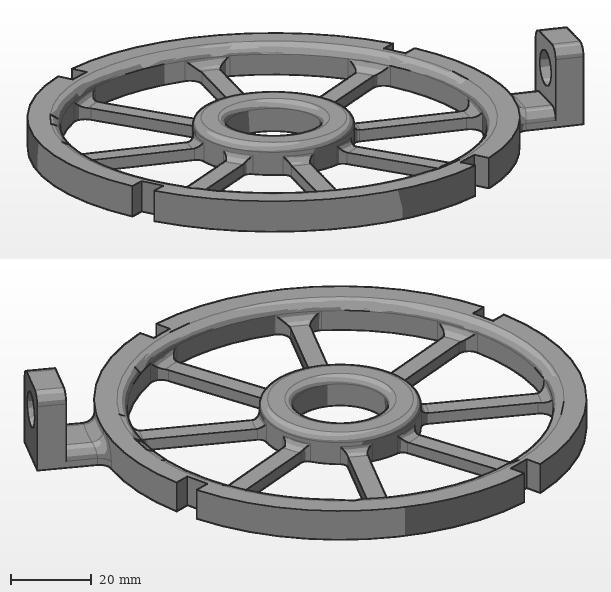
import cadquery as cq
import math

wheel_height = 8.0
rim_radius = 61.0
rim_inner_radius = 52.8
rim_round = 2.5
hub_radius = 20.0
bore_radius = 11.8
hub_round = 2.0
web_thickness = 3.0
web_fillet_at_hub = 2.0
web_fillet_at_rim = wheel_height - rim_round - web_thickness
window_corner_at_hub = 2.0
window_corner_at_rim = 3.0

spoke_count = 8
spoke_width = 5.0

notch_count = 4
notch_width = 6.3
notch_floor_radius = 56.6
notch_start_angle = -5.2

lug_angle = 45.0
lug_end_radius = 78.1
lug_width = 16.0
lug_top = 21.0
lug_round = 3.0
plate_thickness = 7.3
hole_diameter = 9.0
hole_height = lug_top - lug_width / 2
tongue_thickness = 5.0
root_fillet = wheel_height - tongue_thickness

plate_start = lug_end_radius - plate_thickness


def turned(body, angle):
    """Turn a body about the wheel axis."""
    return body.rotate((0, 0, 0), (0, 0, 1), angle)


def disc(radius, height):
    return cq.Workplane("XY").circle(radius).extrude(height)


def block(start, end, width, height):
    """A block along +X, centred on the X axis and standing on the base plane."""
    return (
        cq.Workplane("XY")
        .box(end - start, width, height, centered=(False, True, False))
        .translate((start, 0, 0))
    )


def arc_inset(radius):
    """Distance from a square corner's sides to the middle of the arc that rounds it."""
    return radius * (1 - math.sqrt(0.5))


def make_wheel():
    """Turn the section of bore, hub, web and rim."""
    hub_shoulder = web_thickness + web_fillet_at_hub
    rim_shoulder = web_thickness + web_fillet_at_rim
    hub_bulge = arc_inset(hub_round)
    rim_bulge = arc_inset(rim_round)
    hub_hollow = arc_inset(web_fillet_at_hub)
    rim_hollow = arc_inset(web_fillet_at_rim)
    return (
        cq.Workplane("XZ")
        .moveTo(bore_radius, 0)
        .lineTo(bore_radius, wheel_height - hub_round)
        .threePointArc(
            (bore_radius + hub_bulge, wheel_height - hub_bulge),
            (bore_radius + hub_round, wheel_height),
        )
        .lineTo(hub_radius - hub_round, wheel_height)
        .threePointArc(
            (hub_radius - hub_bulge, wheel_height - hub_bulge),
            (hub_radius, wheel_height - hub_round),
        )
        .lineTo(hub_radius, hub_shoulder)
        .threePointArc(
            (hub_radius + hub_hollow, web_thickness + hub_hollow),
            (hub_radius + web_fillet_at_hub, web_thickness),
        )
        .lineTo(rim_inner_radius - web_fillet_at_rim, web_thickness)
        .threePointArc(
            (rim_inner_radius - rim_hollow, web_thickness + rim_hollow),
            (rim_inner_radius, rim_shoulder),
        )
        .threePointArc(
            (rim_inner_radius + rim_bulge, wheel_height - rim_bulge),
            (rim_inner_radius + rim_round, wheel_height),
        )
        .lineTo(rim_radius, wheel_height)
        .lineTo(rim_radius, 0)
        .close()
        .revolve(360, (0, 0, 0), (0, 1, 0))
    )


def make_windows():
    """The openings between the spokes, with rounded corners."""
    windows = disc(rim_inner_radius, wheel_height).cut(disc(hub_radius, wheel_height))
    for i in range(spoke_count):
        spoke = block(0, rim_radius, spoke_width, wheel_height)
        windows = windows.cut(turned(spoke, i * 360 / spoke_count))
    reach = (hub_radius + rim_inner_radius) / 2
    near_hub = cq.selectors.BoxSelector((-reach, -reach, 0), (reach, reach, wheel_height))
    upright = cq.StringSyntaxSelector("|Z")
    windows = windows.edges(upright - near_hub).fillet(window_corner_at_rim)
    return windows.edges(upright & near_hub).fillet(window_corner_at_hub)


def make_notches():
    notches = cq.Workplane("XY")
    for i in range(notch_count):
        notch = block(notch_floor_radius, lug_end_radius, notch_width, wheel_height)
        notches = notches.add(turned(notch, notch_start_angle + i * 360 / notch_count))
    return notches.combine()


def make_tongue():
    """A tongue with rounded top edges that blends into the outside of the rim."""
    tongue = block(0, plate_start, lug_width, tongue_thickness).edges("|X and >Z").fillet(lug_round)
    rooted = disc(rim_radius, lug_top).union(tongue)
    above_base = tongue_thickness / 10
    joint = cq.selectors.BoxSelector(
        (rim_radius - root_fillet, -lug_width, above_base),
        (rim_radius + root_fillet, lug_width, wheel_height),
    )
    rooted = rooted.edges(joint).fillet(root_fillet)
    return rooted.intersect(block(notch_floor_radius, plate_start, 2 * rim_radius, wheel_height))


def make_plate():
    """An upright plate with rounded top corners and a hole along the lug."""
    plate = block(plate_start, lug_end_radius, lug_width, lug_top).edges("|X and >Z").fillet(lug_round)
    hole = (
        cq.Workplane("YZ", origin=(plate_start, 0, hole_height))
        .circle(hole_diameter / 2)
        .extrude(plate_thickness)
    )
    return plate.cut(hole)


lug = turned(make_tongue().union(make_plate()), lug_angle)
result = make_wheel().cut(make_windows()).cut(make_notches()).union(lug)